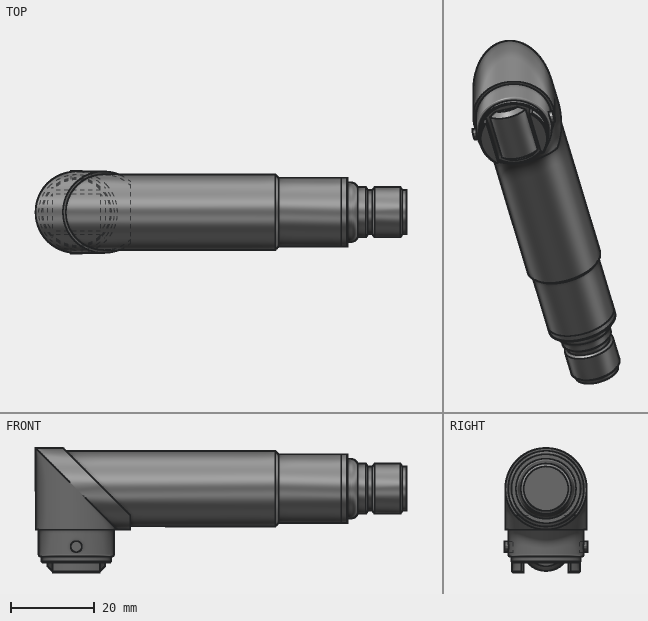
import cadquery as cq
import math


head_radius = 9.7
head_mitre_depth = 6.5
head_length = 22.6
socket_axis_x = head_radius

barrel_radius = 9.0
barrel_shoulder_chamfer = 0.8
barrel_shoulder_x = 57.1
rear_tube_radius = barrel_radius - barrel_shoulder_chamfer

ring_start_x = 72.8
ring_end_x = 74.2

plug_flange_end_x = 74.4
plug_collar_radius = 7.2
plug_collar_length = 0.5
plug_round_radius = 2.0
plug_radius = 6.0
plug_groove_radius = 5.3
plug_bevel = 0.5
plug_groove_start_x = 78.7
plug_groove_end_x = 80.8
plug_spigot_x = 86.9
plug_end_x = 88.4

sleeve_radius = barrel_radius
sleeve_bottom_z = -16.2
sleeve_fillet = 0.5

pin_radius = 1.3
pin_tip_y = 9.9
pin_root_y = 8.0
pin_z = -13.8

fork_plate_radius = 8.3
fork_plate_bottom_z = -17.6
fork_plate_chamfer = 0.3
jaw_radius = 8.1
jaw_inner_y = 5.3
jaw_half_length = 5.6
jaw_bottom_z = -20.0
jaw_chamfer = 0.3

lens_radius = 5.75
lens_half_length = 6.9
lens_chamfer = 1.15
lens_bottom_z = -19.6


def revolved_about_x(profile):
    """Revolve a closed (X, radius) outline about the X axis."""
    return profile.close().revolve(360, (0, 0, 0), (1, 0, 0))


def upright_cylinder(radius, bottom_z, top_z):
    """Cylinder on the vertical socket axis."""
    base = cq.Workplane("XY", origin=(socket_axis_x, 0, bottom_z))
    return base.circle(radius).extrude(top_z - bottom_z)


def side_prism(points):
    """Prism with an outline in the XZ plane, wide enough to span the head."""
    return cq.Workplane("XZ").polyline(points).close().extrude(head_radius, both=True)


mitre_top = (0, head_radius)
mitre_bottom = (2 * head_radius, -head_radius)
head_arm_outline = side_prism([
    mitre_top,
    (head_mitre_depth, head_radius),
    (head_length, head_radius + head_mitre_depth - head_length),
    (head_length, -head_radius),
    mitre_bottom,
])
head_drop_outline = side_prism([mitre_top, mitre_bottom, (0, -head_radius)])


def make_head():
    arm = cq.Workplane("YZ").circle(head_radius).extrude(head_length).intersect(head_arm_outline)
    drop = upright_cylinder(head_radius, -head_radius, head_radius).intersect(head_drop_outline)
    return arm.union(drop)


def make_barrel():
    """Stepped barrel whose front end is cut to fit against the head."""
    rod = revolved_about_x(
        cq.Workplane("XY")
        .lineTo(0, barrel_radius)
        .lineTo(barrel_shoulder_x, barrel_radius)
        .lineTo(barrel_shoulder_x + barrel_shoulder_chamfer, rear_tube_radius)
        .lineTo(ring_start_x, rear_tube_radius)
        .lineTo(ring_start_x, 0)
    )
    return rod.cut(head_arm_outline).cut(head_drop_outline)


def make_indicator_ring():
    ring = cq.Workplane("YZ", origin=(ring_start_x, 0, 0)).circle(rear_tube_radius)
    return ring.extrude(ring_end_x - ring_start_x)


def make_plug():
    round_start_x = plug_flange_end_x + plug_collar_length
    round_centre_r = plug_collar_radius - plug_round_radius
    round_end_angle = math.asin((plug_radius - round_centre_r) / plug_round_radius)
    round_mid_angle = (math.pi / 2 + round_end_angle) / 2

    def round_point(angle):
        return (round_start_x + plug_round_radius * math.cos(angle),
                round_centre_r + plug_round_radius * math.sin(angle))

    return revolved_about_x(
        cq.Workplane("XY")
        .moveTo(ring_end_x, 0)
        .lineTo(ring_end_x, rear_tube_radius)
        .lineTo(plug_flange_end_x, rear_tube_radius)
        .lineTo(plug_flange_end_x, plug_collar_radius)
        .lineTo(round_start_x, plug_collar_radius)
        .threePointArc(round_point(round_mid_angle), round_point(round_end_angle))
        .lineTo(plug_groove_start_x, plug_radius)
        .lineTo(plug_groove_start_x + plug_bevel, plug_groove_radius)
        .lineTo(plug_groove_end_x - plug_bevel, plug_groove_radius)
        .lineTo(plug_groove_end_x, plug_radius)
        .lineTo(plug_spigot_x, plug_radius)
        .lineTo(plug_spigot_x + plug_bevel, plug_groove_radius)
        .lineTo(plug_end_x, plug_groove_radius)
        .lineTo(plug_end_x, 0)
    )


def make_bayonet_pin(side):
    """Pin on the +Y (side = 1) or -Y (side = -1) flank of the sleeve."""
    base = cq.Workplane("XZ", origin=(socket_axis_x, side * pin_root_y, pin_z))
    return base.circle(pin_radius).extrude(-side * (pin_tip_y - pin_root_y))


def make_sleeve(pins):
    """Sleeve with a blind hole for each bayonet pin."""
    sleeve = upright_cylinder(sleeve_radius, sleeve_bottom_z, -head_radius)
    sleeve = sleeve.faces("<Z").fillet(sleeve_fillet)
    for pin in pins:
        sleeve = sleeve.cut(pin)
    return sleeve


def make_fork():
    plate = upright_cylinder(fork_plate_radius, fork_plate_bottom_z, sleeve_bottom_z)
    plate = plate.faces("<Z").chamfer(fork_plate_chamfer)
    jaw_height = fork_plate_bottom_z - jaw_bottom_z
    jaw_width = jaw_radius - jaw_inner_y
    jaw_disc = upright_cylinder(jaw_radius, jaw_bottom_z, fork_plate_bottom_z)
    jaw_disc = jaw_disc.faces("<Z").chamfer(jaw_chamfer)
    fork = plate
    for side in (-1, 1):
        jaw_y = side * (jaw_inner_y + jaw_width / 2)
        jaw_block = (
            cq.Workplane("XY", origin=(socket_axis_x, jaw_y, jaw_bottom_z))
            .rect(2 * jaw_half_length, jaw_width)
            .extrude(jaw_height)
        )
        fork = fork.union(jaw_disc.intersect(jaw_block))
    return fork


def make_lens():
    lens_axis_z = lens_bottom_z + lens_radius
    roller = (
        cq.Workplane("YZ", origin=(socket_axis_x, 0, lens_axis_z))
        .circle(lens_radius)
        .extrude(lens_half_length, both=True)
        .faces("<X or >X")
        .chamfer(lens_chamfer)
    )
    return roller.cut(upright_cylinder(head_radius, fork_plate_bottom_z, head_radius))


head = make_head()
barrel = make_barrel()
indicator_ring = make_indicator_ring()
plug = make_plug()
bayonet_pins = [make_bayonet_pin(side) for side in (-1, 1)]
sleeve = make_sleeve(bayonet_pins)
fork = make_fork()
lens = make_lens()

result = cq.Compound.makeCompound([
    head.val(),
    barrel.val(),
    indicator_ring.val(),
    plug.val(),
    sleeve.val(),
    *[pin.val() for pin in bayonet_pins],
    fork.val(),
    lens.val(),
])